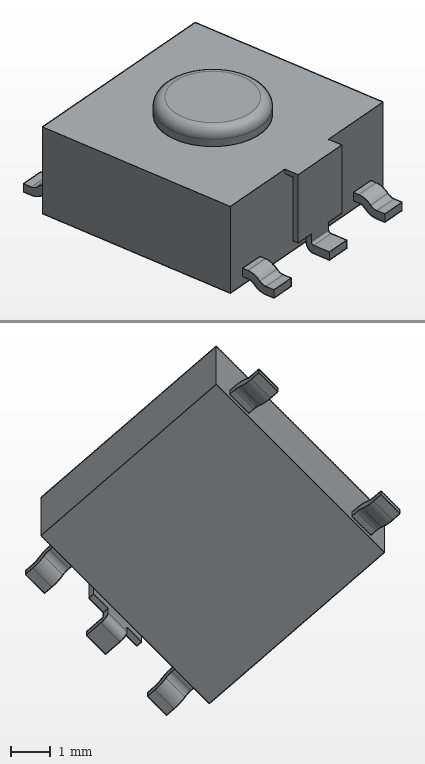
import cadquery as cq
import math

overall_length = 8.0
overall_height = 3.1

body_length = 6.0
body_width = 6.2
body_height = 2.58
button_diameter = 3.0
button_flat_diameter = 2.4

lead_thickness = 0.25
lead_width = 0.7
lead_offset_y = 2.25
foot_length = 0.26
shoulder_length = 0.17

strip_reach = 0.42
strip_width = 1.77
strip_top_thickness = 0.14
strip_wall_thickness = 0.17
strip_bottom = 0.55
strip_foot_inner_radius = 0.08

body_end = body_length / 2
lead_tip = overall_length / 2


def extrude_along_y(profile, width, center_y):
    """Extrude an XZ profile symmetrically about the given Y position."""
    return profile.extrude(width / 2, both=True).translate((0, center_y, 0))


def make_body():
    return cq.Workplane("XY").box(body_length, body_width, body_height, centered=(True, True, False))


def make_button():
    rounding = (button_diameter - button_flat_diameter) / 2
    button = cq.Workplane("XY").circle(button_diameter / 2).extrude(overall_height)
    return button.faces(">Z").edges().fillet(rounding)


def make_lead(center_y):
    """Gull-wing lead on the +X end, with two tangent bends between shoulder and foot."""
    bend_start = body_end + shoulder_length
    bend_end = lead_tip - foot_length
    bend_run = bend_end - bend_start
    bend_drop = lead_thickness
    shoulder_top = bend_drop + lead_thickness

    bend_angle = 2 * math.atan(bend_drop / bend_run)
    radius_sum = bend_run / math.sin(bend_angle)
    inner_radius = (radius_sum - lead_thickness) / 2
    outer_radius = inner_radius + lead_thickness

    def bend_point(radius):
        """Offset along and down a bend of the given radius, after the full bend angle."""
        return radius * math.sin(bend_angle), radius * (1 - math.cos(bend_angle))

    top_run, top_drop = bend_point(outer_radius)
    bottom_run, bottom_drop = bend_point(inner_radius)

    profile = (
        cq.Workplane("XZ")
        .moveTo(body_end, shoulder_top)
        .lineTo(bend_start, shoulder_top)
        .tangentArcPoint((bend_start + top_run, shoulder_top - top_drop), relative=False)
        .tangentArcPoint((bend_end, lead_thickness), relative=False)
        .lineTo(lead_tip, lead_thickness)
        .lineTo(lead_tip, 0)
        .lineTo(bend_end, 0)
        .tangentArcPoint((bend_start + bottom_run, bend_drop - bottom_drop), relative=False)
        .tangentArcPoint((bend_start, bend_drop), relative=False)
        .lineTo(body_end, bend_drop)
        .close()
    )
    return extrude_along_y(profile, lead_width, center_y)


def make_strip():
    """Wide L-shaped strip whose wall narrows into a central foot."""
    wall_outer = body_end + strip_reach
    wall_inner = wall_outer - strip_wall_thickness

    wide_profile = (
        cq.Workplane("XZ")
        .moveTo(body_end, body_height)
        .lineTo(wall_outer, body_height)
        .lineTo(wall_outer, strip_bottom)
        .lineTo(wall_inner, strip_bottom)
        .lineTo(wall_inner, body_height - strip_top_thickness)
        .lineTo(body_end, body_height - strip_top_thickness)
        .close()
    )

    inner_radius = strip_foot_inner_radius
    outer_radius = inner_radius + strip_wall_thickness
    foot_profile = (
        cq.Workplane("XZ")
        .moveTo(wall_outer, strip_bottom)
        .lineTo(wall_outer, lead_thickness + inner_radius)
        .tangentArcPoint((inner_radius, -inner_radius))
        .lineTo(lead_tip, lead_thickness)
        .lineTo(lead_tip, 0)
        .lineTo(wall_inner + outer_radius, 0)
        .tangentArcPoint((-outer_radius, outer_radius))
        .lineTo(wall_inner, strip_bottom)
        .close()
    )
    wide_part = extrude_along_y(wide_profile, strip_width, 0)
    return wide_part.union(extrude_along_y(foot_profile, lead_width, 0))


result = make_body().union(make_button()).union(make_strip())
for side_y in (-lead_offset_y, lead_offset_y):
    lead = make_lead(side_y)
    result = result.union(lead).union(lead.mirror("YZ"))